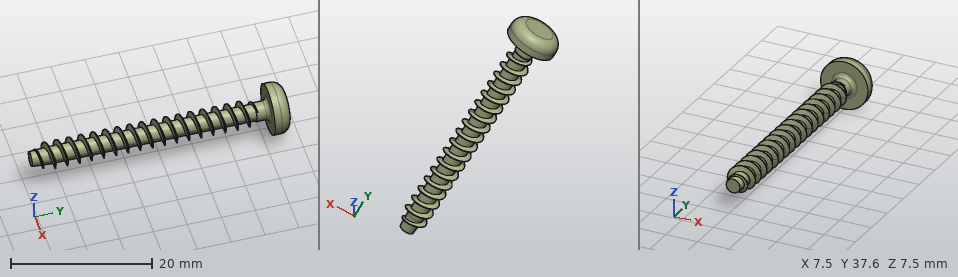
import cadquery as cq
import math


HEAD_RADIUS = 3.75
HEAD_HEIGHT = 2.59
HEAD_RIM_HEIGHT = 1.03
CROWN_RADIUS = HEAD_HEIGHT - HEAD_RIM_HEIGHT

LENGTH = 35.0
NECK_RADIUS = 1.39
NECK_FILLET = 0.62
NECK_END = -2.0
CORE_RADIUS = 1.245
TIP_RADIUS = 1.09
TIP_TAPER_START = -32.5

PITCH = 1.79
THREAD_RADIUS = 2.0
CREST_WIDTH = 0.1
ROOT_WIDTH = 0.65
ROOT_OVERLAP = 0.15
THREAD_TOP = -3.28
SEGMENTS = 11
TURNS_PER_SEGMENT = 1.5

RUNOUT_TURNS = 1
TOP_SINK = 0.75
TIP_SINK = 0.95


def make_body():
    """Head, neck and core as one turned body."""
    flat_radius = HEAD_RADIUS - CROWN_RADIUS
    diagonal = math.sqrt(0.5)
    crown_mid = (
        flat_radius + CROWN_RADIUS * diagonal,
        HEAD_RIM_HEIGHT + CROWN_RADIUS * diagonal,
    )
    fillet_mid = (
        NECK_RADIUS + NECK_FILLET * (1 - diagonal),
        -NECK_FILLET * (1 - diagonal),
    )
    profile = (
        cq.Workplane("XZ")
        .moveTo(0, HEAD_HEIGHT)
        .lineTo(flat_radius, HEAD_HEIGHT)
        .threePointArc(crown_mid, (HEAD_RADIUS, HEAD_RIM_HEIGHT))
        .lineTo(HEAD_RADIUS, 0)
        .lineTo(NECK_RADIUS + NECK_FILLET, 0)
        .threePointArc(fillet_mid, (NECK_RADIUS, -NECK_FILLET))
        .lineTo(NECK_RADIUS, NECK_END)
        .lineTo(CORE_RADIUS, NECK_END)
        .lineTo(CORE_RADIUS, TIP_TAPER_START)
        .lineTo(TIP_RADIUS, -LENGTH)
        .lineTo(0, -LENGTH)
        .close()
    )
    return profile.revolve(360, (0, 0, 0), (0, 1, 0))


def make_ridge(turns, sink=0):
    """Ridge that starts at +X at z = 0 and climbs right-handed, sinking inwards as it climbs."""
    root_radius = CORE_RADIUS - ROOT_OVERLAP
    height = turns * PITCH
    if sink:
        taper = math.degrees(math.atan2(sink, height))
        helix = cq.Wire.makeHelix(PITCH, height, THREAD_RADIUS, angle=-taper)
    else:
        helix = cq.Wire.makeHelix(PITCH, height, THREAD_RADIUS)
    section = (
        cq.Workplane("XZ")
        .moveTo(root_radius, -ROOT_WIDTH / 2)
        .lineTo(THREAD_RADIUS, -CREST_WIDTH / 2)
        .lineTo(THREAD_RADIUS, CREST_WIDTH / 2)
        .lineTo(root_radius, ROOT_WIDTH / 2)
        .close()
    )
    return section.sweep(cq.Workplane(obj=helix), isFrenet=True)


def place_on_helix(ridge, turns_below_top):
    """Move a ridge so that it starts the given number of turns below the thread top."""
    turned = ridge.rotate((0, 0, 0), (0, 0, 1), -360 * turns_below_top)
    return turned.translate((0, 0, THREAD_TOP - turns_below_top * PITCH))


def make_thread_pieces():
    """Full-height segments plus the run-outs at the neck and at the tip."""
    segment = make_ridge(TURNS_PER_SEGMENT)
    pieces = [place_on_helix(segment, (i + 1) * TURNS_PER_SEGMENT) for i in range(SEGMENTS)]
    pieces.append(place_on_helix(make_ridge(RUNOUT_TURNS, TOP_SINK), 0))
    tip_runout = make_ridge(RUNOUT_TURNS, TIP_SINK).rotate((0, 0, 0), (1, 0, 0), 180)
    pieces.append(place_on_helix(tip_runout, SEGMENTS * TURNS_PER_SEGMENT))
    return pieces


screw = make_body()
for piece in make_thread_pieces():
    screw = screw.union(piece)
result = screw.rotate((0, 0, 0), (1, 0, 0), -90)